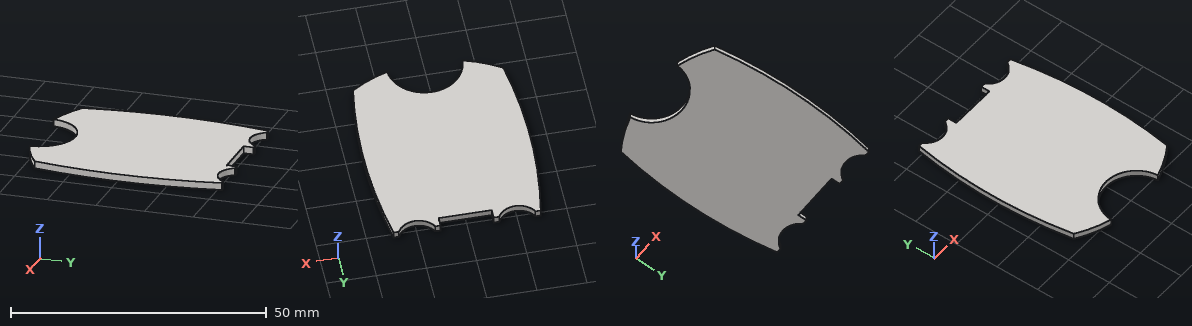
import cadquery as cq
import math

thickness = 1.5
overall_width = 33.15
overall_length = 41.88
top_y = 20.0
top_half_width = 14.7

corner_half_width = 15.0
corner_drop = 38.4

cutout_radius = 7.5
cutout_apex_drop = 34.9

notch_width = 10.6
notch_depth = 2.0

scallop_radius = 4.1
scallop_depth = 2.17
scallop_offset = 10.0

half_width = overall_width / 2
corner_y = top_y - corner_drop
cutout_center_y = top_y - cutout_apex_drop - cutout_radius
tip_y = top_y - overall_length
tip_half_width = math.sqrt(cutout_radius**2 - (tip_y - cutout_center_y) ** 2)

lower_center_y = (
    (corner_half_width**2 + corner_y**2 - tip_half_width**2 - tip_y**2) / (2 * (corner_y - tip_y))
)
lower_radius = math.hypot(corner_half_width, corner_y - lower_center_y)


def make_plate():
    """Plate with bowed sides, a straight top edge and a rounded lower edge."""
    return (
        cq.Workplane("XY")
        .moveTo(-top_half_width, top_y)
        .lineTo(top_half_width, top_y)
        .threePointArc((half_width, 0), (corner_half_width, corner_y))
        .threePointArc((0, lower_center_y - lower_radius), (-corner_half_width, corner_y))
        .threePointArc((-half_width, 0), (-top_half_width, top_y))
        .close()
        .extrude(thickness)
    )


def make_round_cutter(x, y, radius):
    return cq.Workplane("XY").center(x, y).circle(radius).extrude(thickness)


def make_notch_cutter():
    return (
        cq.Workplane("XY")
        .center(0, top_y)
        .rect(notch_width, 2 * notch_depth)
        .extrude(thickness)
    )


result = make_plate()
result = result.cut(make_round_cutter(0, cutout_center_y, cutout_radius))
result = result.cut(make_notch_cutter())

scallop_center_y = top_y - scallop_depth + scallop_radius
for side in (-1, 1):
    result = result.cut(make_round_cutter(side * scallop_offset, scallop_center_y, scallop_radius))